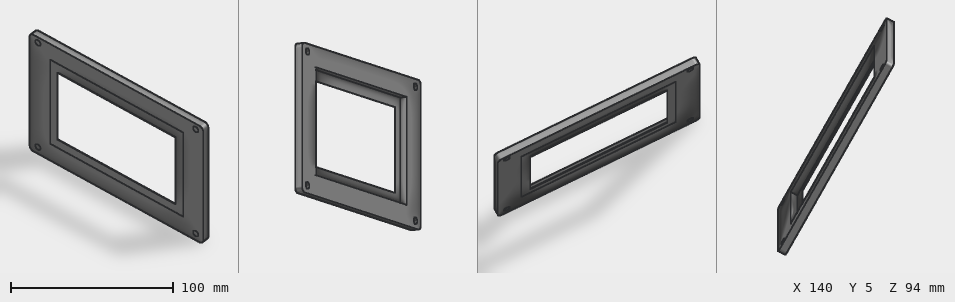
import cadquery as cq

width = 140.0
thickness = 5.0
height = 94.0
corner_radius = 3.2

skin = 0.4
window_width = 94.9
window_height = 53.8
recess_width = 107.0
recess_height = 67.8

hole_diameter = 4.2
hole_spacing_x = 127.1
hole_spacing_z = 84.0

recess_depth = thickness - skin
back_y = thickness / 2


def make_plate():
    plate = cq.Workplane("XY").box(width, thickness, height)
    return plate.edges("|Y").fillet(corner_radius)


def back_plane():
    """Sketch plane on the back face; extruding goes towards the front."""
    return cq.Workplane("XZ", origin=(0, back_y, 0))


window = back_plane().rect(window_width, window_height).extrude(thickness)
recess = back_plane().rect(recess_width, recess_height).extrude(recess_depth)
corner_holes = (
    back_plane()
    .rect(hole_spacing_x, hole_spacing_z, forConstruction=True)
    .vertices()
    .circle(hole_diameter / 2)
    .extrude(recess_depth)
)

result = make_plate().cut(window).cut(recess).cut(corner_holes)